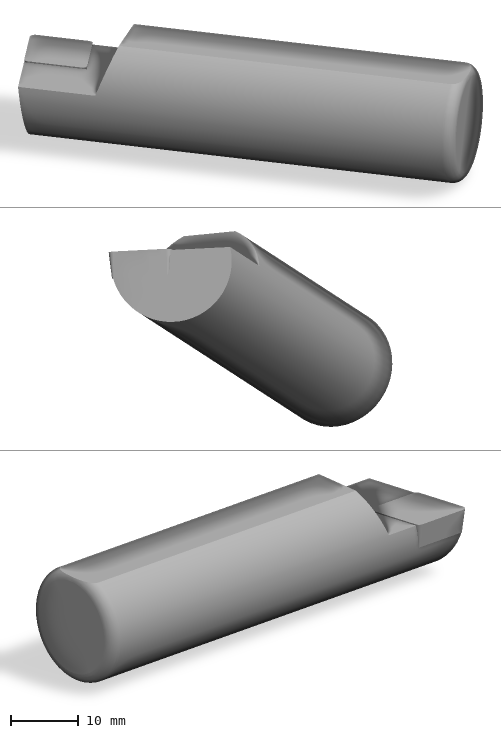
import cadquery as cq
import math

length = 70.0
shank_diameter = 18.0
shank_radius = shank_diameter / 2
height_over_flat = 17.0
end_fillet = 1.7

floor_z = 1.7
floor_length = 15.0
shoulder_angle = 20.0

overall_width = 18.5
insert_top_z = 1.9
insert_thickness = 3.85
insert_width = 9.5
corner_radius = 0.8
lead_angle = 10.0
clearance_angle = 7.0

lead = math.radians(lead_angle)
insert_outer_y = overall_width - shank_radius
tip_setback = corner_radius * (math.tan(lead) + 1 / math.cos(lead) - 1)
sharp_corner = (-tip_setback, insert_outer_y)

cutter_size = 2 * shank_diameter


def insert_outline():
    """Sharp-cornered rhombus at the top face of the insert."""
    side = insert_width / math.cos(lead)
    slant = insert_width * math.tan(lead)
    x, y = sharp_corner
    return (
        cq.Workplane("XY", origin=(0, 0, insert_top_z))
        .moveTo(x, y)
        .lineTo(x + side, y)
        .lineTo(x + side + slant, y - insert_width)
        .lineTo(x + slant, y - insert_width)
        .close()
    )


def make_sharp_insert():
    return insert_outline().extrude(-insert_thickness, taper=clearance_angle)


def make_insert():
    """Insert with conical corners, narrowing downwards along with the flanks."""
    sharp_wire = insert_outline().wires().val()
    rounded_wire = sharp_wire.fillet2D(corner_radius, sharp_wire.Vertices())
    return (
        cq.Workplane("XY", origin=(0, 0, insert_top_z))
        .add(rounded_wire)
        .toPending()
        .extrude(-insert_thickness, taper=clearance_angle)
    )


def make_blank():
    """Round bar with a filleted rear end."""
    return cq.Workplane("YZ").circle(shank_radius).extrude(length).faces(">X").edges().fillet(end_fillet)


def make_flat_cutter():
    """Block above the clamping flat."""
    flat_z = height_over_flat - shank_radius
    return (
        cq.Workplane("XY", origin=(length / 2, 0, flat_z))
        .rect(2 * length, cutter_size)
        .extrude(shank_radius)
    )


def make_cutaway_cutter():
    """Prism above the nose floor and in front of the sloped shoulder."""
    rise = shank_radius - floor_z
    shoulder_run = rise * math.tan(math.radians(shoulder_angle))
    return (
        cq.Workplane("XZ")
        .moveTo(-floor_length, floor_z)
        .lineTo(floor_length, floor_z)
        .lineTo(floor_length + shoulder_run, shank_radius)
        .lineTo(-floor_length, shank_radius)
        .close()
        .extrude(shank_diameter, both=True)
    )


def make_nose_cutter():
    """Block whose rear face is in the plane of the insert's front flank."""
    return (
        cq.Workplane("XY")
        .box(cutter_size, 2 * cutter_size, cutter_size, centered=(False, True, True))
        .translate((-cutter_size, 0, 0))
        .rotate((0, 0, 0), (0, 1, 0), -clearance_angle)
        .rotate((0, 0, 0), (0, 0, 1), lead_angle)
        .translate((*sharp_corner, insert_top_z))
    )


def make_shank():
    return (
        make_blank()
        .cut(make_flat_cutter())
        .cut(make_cutaway_cutter())
        .cut(make_nose_cutter())
        .cut(make_sharp_insert())
    )


shank = make_shank()
insert = make_insert()

result = cq.Compound.makeCompound([shank.solids().val(), insert.solids().val()])